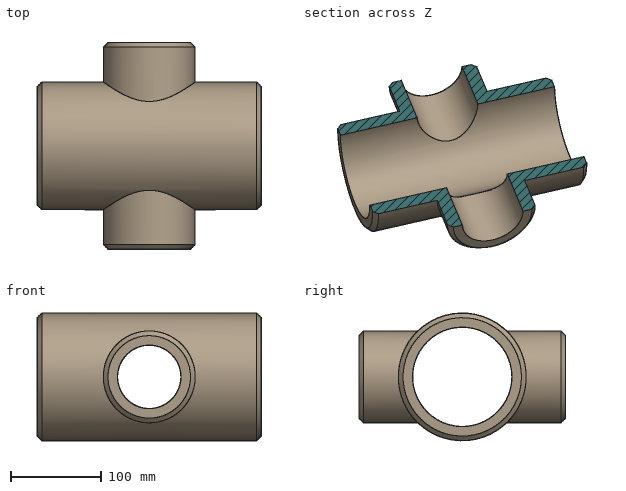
import cadquery as cq

RUN_LENGTH = 247.9
RUN_DIAMETER = 141.3

BRANCH_SPAN = 228.6
BRANCH_DIAMETER = 101.6

WALL = 15.875
BEVEL = 5.2


def centred_cylinder(plane, diameter, length):
    """Solid cylinder centred on the origin, along the normal of the plane."""
    return cq.Workplane(plane).circle(diameter / 2).extrude(length / 2, both=True)


def bevelled_bar(plane, end_faces, diameter, length):
    """Centred cylinder with both end edges bevelled."""
    return centred_cylinder(plane, diameter, length).faces(end_faces).edges().chamfer(BEVEL)


run_bar = bevelled_bar("YZ", "|X", RUN_DIAMETER, RUN_LENGTH)
branch_bar = bevelled_bar("XZ", "|Y", BRANCH_DIAMETER, BRANCH_SPAN)
body = run_bar.union(branch_bar)

run_bore = centred_cylinder("YZ", RUN_DIAMETER - 2 * WALL, RUN_LENGTH)
branch_bore = centred_cylinder("XZ", BRANCH_DIAMETER - 2 * WALL, BRANCH_SPAN)

result = body.cut(run_bore).cut(branch_bore)